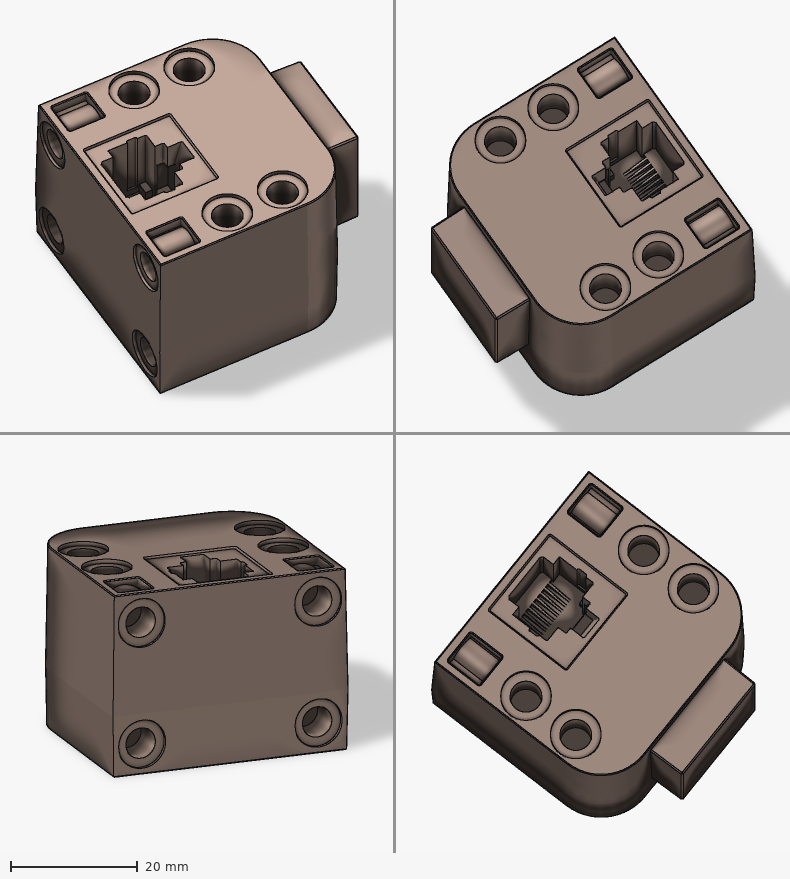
import cadquery as cq

BODY_WIDTH = 40.0
TOTAL_LENGTH = 42.05
BODY_LENGTH = 36.0
BODY_HEIGHT = 30.0
PARTING_HEIGHT = 10.0
BACK_CORNER_RADIUS = 9.0
DRAFT_ANGLE = 1.0
RIM_CHAMFER = 0.15

PLUG_SIZE = 19.0
PLUG_CENTER_HEIGHT = 18.4
PLUG_OVERLAP = 0.85
PLUG_CHAMFER = 0.25

HOLE_SIDE_OFFSET = 15.0
HOLE_DIAMETER = 5.0
HOLE_DEPTH = 6.73
COUNTERBORE_DIAMETER = 8.0
COUNTERBORE_DEPTH = 0.7
FRONT_HOLE_INSET = 5.0
TOP_HOLE_FRONT_Y = 15.05
TOP_HOLE_SPACING = 10.0
CUT_CLEARANCE = 0.85

WINDOW_CENTER_X = 15.3
WINDOW_WIDTH = 6.25
WINDOW_FRONT_Y = 1.7
WINDOW_LENGTH = 6.75
WINDOW_DEPTH = 1.55
WINDOW_TAPER = 10.0
WINDOW_CHAMFER = 0.15
WINDOW_CHAMFER_ANGLE = 45
WINDOW_CORNER_RADIUS = 0.5
BARREL_DIAMETER = 8.1

RECESS_SIZE = 15.85
RECESS_FRONT_Y = 1.72
RECESS_DEPTH = 0.35
RECESS_TAPER = 35.0
RECESS_CORNER_RADIUS = 0.38

SOCKET_DEPTH = 12.6
SLOT_WIDTH = 8.75
SLOT_FRONT_Y = 2.9
SLOT_CHAMFER = 0.38
BAY_WIDTH = 11.95
BAY_FRONT_Y = 5.25
BAY_BACK_Y = 12.15
SHOULDER_WIDTH = 6.25
SHOULDER_BACK_Y = 13.75
LATCH_WIDTH = 4.0
LATCH_BACK_Y = 16.45
SIDE_GROOVE_WIDTH = 12.7
SIDE_GROOVE_FRONT_Y = 8.75
SIDE_GROOVE_BACK_Y = 10.55
SIDE_GROOVE_DEPTH = 11.35
SOCKET_CORNER_RADIUS = 0.25
LATCH_RAMP_DEPTH = 4.62
LATCH_RAMP_END_Y = 15.15

CHAMBER_WIDTH = 8.58
CHAMBER_FRONT_Y = 12.5
CHAMBER_DEPTH = 11.77

STOP_WIDTH = 2.05
STOP_FRONT_Y = 10.9
STOP_HEIGHT = 1.7
SLOT_FLOOR_HEIGHT = 1.25
SLOT_FLOOR_BACK_Y = 5.0
CONTACT_COUNT = 8
CONTACT_PITCH = 1.0
CONTACT_WIDTH = 0.4
CONTACT_BACK_Y = 9.25

SOCKET_FACE_Z = BODY_HEIGHT - RECESS_DEPTH
SOCKET_FLOOR_Z = SOCKET_FACE_Z - SOCKET_DEPTH


def block(width, y_front, y_back, z_bottom, z_top, x_center=0.0):
    """Box centred on x_center and bounded by the given Y and Z limits."""
    length = y_back - y_front
    height = z_top - z_bottom
    box = cq.Workplane("XY").box(width, length, height, centered=(True, False, False))
    return box.translate((x_center, y_front, z_bottom))


def body_half(height):
    """Drafted prism growing from the parting plane; a negative height grows downwards."""
    half_width = BODY_WIDTH / 2
    outline = (
        cq.Workplane("XY", origin=(0, 0, PARTING_HEIGHT))
        .moveTo(-half_width, 0)
        .lineTo(half_width, 0)
        .lineTo(half_width, BODY_LENGTH - BACK_CORNER_RADIUS)
        .tangentArcPoint((-BACK_CORNER_RADIUS, BACK_CORNER_RADIUS))
        .lineTo(BACK_CORNER_RADIUS - half_width, BODY_LENGTH)
        .tangentArcPoint((-BACK_CORNER_RADIUS, -BACK_CORNER_RADIUS))
        .close()
    )
    return outline.extrude(height, taper=DRAFT_ANGLE)


def plug():
    """Square plug, slightly drafted, rooted inside the back wall."""
    root_y = BODY_LENGTH - PLUG_OVERLAP
    drafted = (
        cq.Workplane("XZ", origin=(0, root_y, PLUG_CENTER_HEIGHT))
        .rect(PLUG_SIZE, PLUG_SIZE)
        .extrude(root_y - TOTAL_LENGTH, taper=DRAFT_ANGLE)
    )
    return drafted.edges("not <Y").chamfer(PLUG_CHAMFER)


def counterbored_cutter(x, y, z, direction):
    """Blind hole with a counterbore, entering the face point (x, y, z) along direction."""
    entry = cq.Vector(x, y, z)
    axis = cq.Vector(*direction)
    start = entry - axis * CUT_CLEARANCE
    hole = cq.Solid.makeCylinder(HOLE_DIAMETER / 2, HOLE_DEPTH + CUT_CLEARANCE, start, axis)
    bore = cq.Solid.makeCylinder(COUNTERBORE_DIAMETER / 2, COUNTERBORE_DEPTH + CUT_CLEARANCE, start, axis)
    return cq.Workplane(hole).union(cq.Workplane(bore))


def window_cutter(side):
    """Tapered window with a chamfered rim, leaving the barrel around the front hole standing."""
    center_y = WINDOW_FRONT_Y + WINDOW_LENGTH / 2
    top = cq.Workplane("XY", origin=(side * WINDOW_CENTER_X, center_y, BODY_HEIGHT))
    inner_width = WINDOW_WIDTH - 2 * WINDOW_CHAMFER
    inner_length = WINDOW_LENGTH - 2 * WINDOW_CHAMFER
    inner_radius = WINDOW_CORNER_RADIUS - WINDOW_CHAMFER
    inner_outline = cq.Sketch().rect(inner_width, inner_length).vertices().fillet(inner_radius)
    rim_outline = cq.Sketch().rect(WINDOW_WIDTH, WINDOW_LENGTH).vertices().fillet(WINDOW_CORNER_RADIUS)
    pocket = top.placeSketch(inner_outline).extrude(-WINDOW_DEPTH, taper=WINDOW_TAPER)
    rim = top.placeSketch(rim_outline).extrude(-WINDOW_CHAMFER, taper=WINDOW_CHAMFER_ANGLE)
    barrel = cq.Solid.makeCylinder(
        BARREL_DIAMETER / 2,
        WINDOW_FRONT_Y + WINDOW_LENGTH,
        cq.Vector(side * HOLE_SIDE_OFFSET, 0, BODY_HEIGHT - FRONT_HOLE_INSET),
        cq.Vector(0, 1, 0),
    )
    return pocket.union(rim).cut(cq.Workplane(barrel))


def recess_cutter():
    """Shallow square recess with sloping walls."""
    outline = cq.Sketch().rect(RECESS_SIZE, RECESS_SIZE).vertices().fillet(RECESS_CORNER_RADIUS)
    return (
        cq.Workplane("XY", origin=(0, RECESS_FRONT_Y + RECESS_SIZE / 2, BODY_HEIGHT))
        .placeSketch(outline)
        .extrude(-RECESS_DEPTH, taper=RECESS_TAPER)
    )


def latch_cutter():
    """Latch notch whose back wall slopes forward with depth."""
    ramp_end_z = SOCKET_FACE_Z - LATCH_RAMP_DEPTH
    notch = (
        cq.Workplane("YZ", origin=(-LATCH_WIDTH / 2, 0, 0))
        .moveTo(BAY_BACK_Y, SOCKET_FACE_Z)
        .lineTo(LATCH_BACK_Y, SOCKET_FACE_Z)
        .lineTo(LATCH_RAMP_END_Y, ramp_end_z)
        .lineTo(BAY_BACK_Y, ramp_end_z)
        .close()
        .extrude(LATCH_WIDTH)
    )
    ramp_edges = notch.faces(">Y").edges("not |X")
    return ramp_edges.fillet(SOCKET_CORNER_RADIUS)


def contact_strips():
    """Row of narrow contact strips sloping down from the slot floor to the bay floor."""
    strips = cq.Workplane("XY")
    for index in range(CONTACT_COUNT):
        x = (index - (CONTACT_COUNT - 1) / 2) * CONTACT_PITCH
        strip = (
            cq.Workplane("YZ", origin=(x - CONTACT_WIDTH / 2, 0, SOCKET_FLOOR_Z))
            .moveTo(SLOT_FLOOR_BACK_Y, 0)
            .lineTo(CONTACT_BACK_Y, 0)
            .lineTo(SLOT_FLOOR_BACK_Y, SLOT_FLOOR_HEIGHT)
            .close()
            .extrude(CONTACT_WIDTH)
        )
        strips = strips.union(strip)
    return strips


def socket_cutter():
    """Stepped socket opening with its chamber, stop blocks and contact strips."""
    chamber_floor_z = SOCKET_FACE_Z - CHAMBER_DEPTH
    slot = block(SLOT_WIDTH, SLOT_FRONT_Y, BAY_FRONT_Y, SOCKET_FLOOR_Z, SOCKET_FACE_Z)
    cutter = slot.edges("|Z and <Y").chamfer(SLOT_CHAMFER)
    bay = block(BAY_WIDTH, BAY_FRONT_Y, BAY_BACK_Y, SOCKET_FLOOR_Z, SOCKET_FACE_Z)
    cutter = cutter.union(bay.edges("|Z and >Y").fillet(SOCKET_CORNER_RADIUS))
    groove_floor_z = SOCKET_FACE_Z - SIDE_GROOVE_DEPTH
    grooves = block(SIDE_GROOVE_WIDTH, SIDE_GROOVE_FRONT_Y, SIDE_GROOVE_BACK_Y, groove_floor_z, SOCKET_FACE_Z)
    cutter = cutter.union(grooves.edges("|Z").fillet(SOCKET_CORNER_RADIUS))
    cutter = cutter.union(block(SHOULDER_WIDTH, BAY_BACK_Y, CHAMBER_FRONT_Y, SOCKET_FLOOR_Z, SOCKET_FACE_Z))
    shoulder = block(SHOULDER_WIDTH, CHAMBER_FRONT_Y, SHOULDER_BACK_Y, chamber_floor_z, SOCKET_FACE_Z)
    cutter = cutter.union(shoulder.edges("|Z and >Y").fillet(SOCKET_CORNER_RADIUS))
    chamber_top_z = SOCKET_FACE_Z - LATCH_RAMP_DEPTH
    chamber = block(CHAMBER_WIDTH, CHAMBER_FRONT_Y, LATCH_RAMP_END_Y, chamber_floor_z, chamber_top_z)
    cutter = cutter.union(chamber).union(latch_cutter())

    slot_floor_top = SOCKET_FLOOR_Z + SLOT_FLOOR_HEIGHT
    cutter = cutter.cut(block(SLOT_WIDTH, SLOT_FRONT_Y, SLOT_FLOOR_BACK_Y, SOCKET_FLOOR_Z, slot_floor_top))
    for side in (-1, 1):
        stop_x = side * (BAY_WIDTH - STOP_WIDTH) / 2
        stop_top = SOCKET_FLOOR_Z + STOP_HEIGHT
        cutter = cutter.cut(block(STOP_WIDTH, STOP_FRONT_Y, BAY_BACK_Y, SOCKET_FLOOR_Z, stop_top, stop_x))
    return cutter.cut(contact_strips())


upper_half = body_half(BODY_HEIGHT - PARTING_HEIGHT).faces(">Z").chamfer(RIM_CHAMFER)
lower_half = body_half(-PARTING_HEIGHT).faces("<Z").chamfer(RIM_CHAMFER)
result = upper_half.union(lower_half).union(plug())

for hole_side in (-1, 1):
    hole_x = hole_side * HOLE_SIDE_OFFSET
    for hole_z in (FRONT_HOLE_INSET, BODY_HEIGHT - FRONT_HOLE_INSET):
        result = result.cut(counterbored_cutter(hole_x, 0, hole_z, (0, 1, 0)))
    for hole_y in (TOP_HOLE_FRONT_Y, TOP_HOLE_FRONT_Y + TOP_HOLE_SPACING):
        result = result.cut(counterbored_cutter(hole_x, hole_y, BODY_HEIGHT, (0, 0, -1)))
    result = result.cut(window_cutter(hole_side))

result = result.cut(recess_cutter())
result = result.cut(socket_cutter())